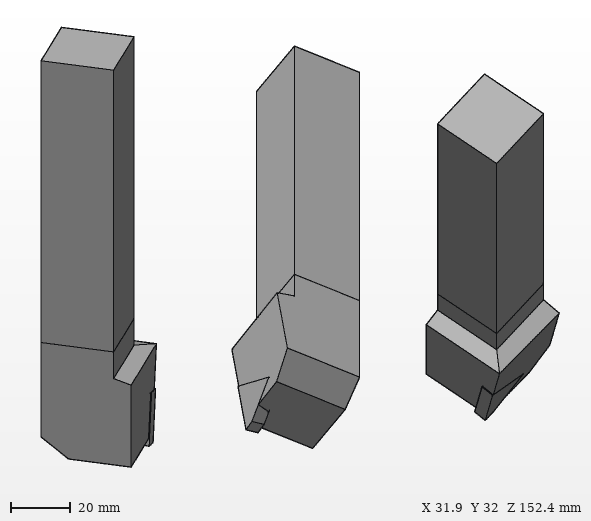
import cadquery as cq
import math

total_height = 152.4
shank_width = 25.3
joint_height = 46.0

head_right = 31.4
head_depth = 32.0
head_bottom = 3.4
shoulder_height = 36.0
shoulder_angle = 15.0
chamfer_width = 9.6
chamfer_height = 7.0

rake_slope = 0.167
side_slope = 0.022

tip_x = 31.9
insert_thickness = 4.7
insert_edge = 19.0
blunt_width = 4.3
blunt_rise = 0.3
edge_lean = 0.08
insert_slant = math.tan(math.radians(30))

shoulder_slope = math.tan(math.radians(shoulder_angle))
rake_top = shoulder_height - shoulder_slope * (head_depth - shank_width)
tip_y = head_depth - rake_slope * rake_top - side_slope * tip_x

rake_plane = cq.Plane(
    origin=(tip_x, tip_y, 0),
    xDir=(-1, side_slope, 0),
    normal=(side_slope, 1, -rake_slope),
)


def make_shank():
    shank_length = total_height - joint_height
    return cq.Workplane("XY").box(shank_width, shank_width, shank_length, centered=False).translate(
        (0, 0, joint_height)
    )


def make_insert():
    apex_x = ((insert_edge - blunt_rise) / insert_slant + blunt_width + edge_lean) / 2
    apex_y = blunt_rise + (apex_x - blunt_width) * insert_slant
    outline = [(0, 0), (blunt_width, blunt_rise), (apex_x, apex_y), (edge_lean, insert_edge)]
    return cq.Workplane(rake_plane).polyline(outline).close().extrude(-insert_thickness)


def make_head(insert):
    right_shoulder_end = shoulder_height - shoulder_slope * (head_right - shank_width)
    width_outline = [
        (0, joint_height),
        (shank_width, joint_height),
        (shank_width, shoulder_height),
        (head_right, right_shoulder_end),
        (head_right, head_bottom),
        (chamfer_width, head_bottom),
        (0, head_bottom + chamfer_height),
    ]
    width_body = cq.Workplane("XZ").polyline(width_outline).close().extrude(-head_depth)

    depth_outline = [
        (0, joint_height),
        (shank_width, joint_height),
        (shank_width, shoulder_height),
        (head_depth, rake_top),
        (head_depth, head_bottom),
        (0, head_bottom),
    ]
    depth_body = cq.Workplane("YZ").polyline(depth_outline).close().extrude(head_right)

    cutter_size = 2 * joint_height
    rake_cutter = cq.Workplane(rake_plane).rect(2 * cutter_size, 2 * cutter_size).extrude(cutter_size)
    return width_body.intersect(depth_body).cut(rake_cutter).cut(insert)


shank = make_shank()
insert = make_insert()
head = make_head(insert)

result = cq.Compound.makeCompound([shank.val(), *head.solids().vals(), insert.val()])